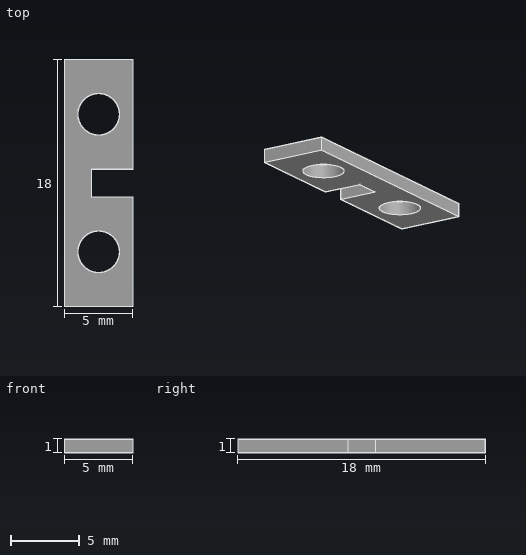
import cadquery as cq

length = 18.0
width = 5.0
thickness = 1.0

hole_diameter = 3.0
hole_spacing = 10.0

notch_width = 2.0
notch_depth = 3.0

plate = cq.Workplane("XY").box(width, length, thickness)

drilled_plate = (
    plate.faces(">Z")
    .workplane()
    .pushPoints([(0, -hole_spacing / 2), (0, hole_spacing / 2)])
    .hole(hole_diameter)
)

notch = (
    cq.Workplane("XY")
    .box(notch_depth, notch_width, thickness)
    .translate((width / 2 - notch_depth / 2, 0, 0))
)

result = drilled_plate.cut(notch)